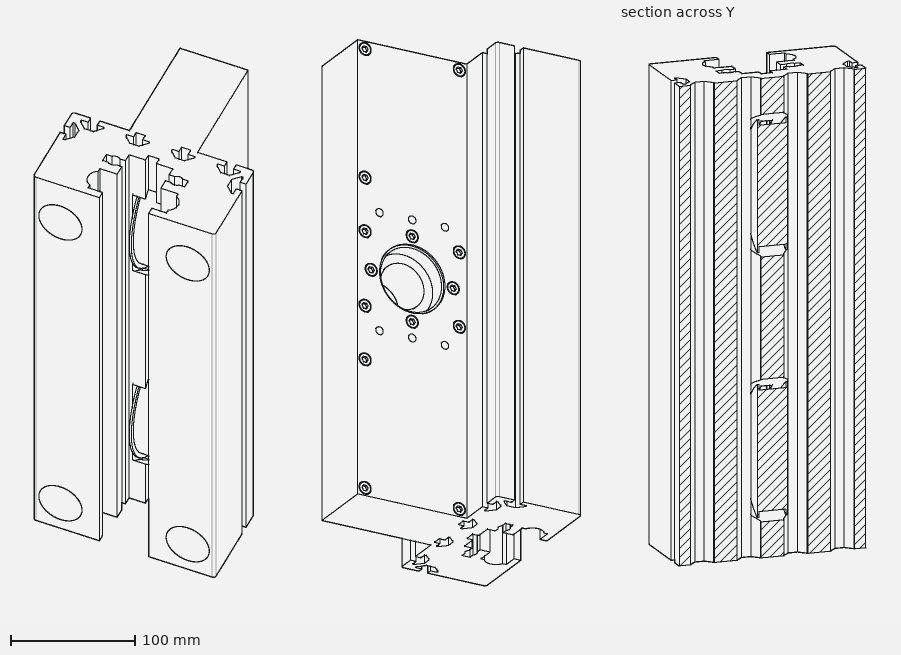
import cadquery as cq
import math

length = 400
half_length = length / 2
profile_width = 160
profile_depth = 78.0
corner_radius = 2.5
box_width = 60
box_depth = 100

slot_mouth = 8.0
slot_cavity = 20.0
slot_lip = 5.0
slot_straight = 1.5
slot_depth = 13.0
back_slot_positions = (-60, -20, 20, 60)
side_slot_y = 57.5

mouth_half = 21.5
mouth_depth = 6.5
guide_half = 34.5
guide_end_y = 29.5
rod_groove_x = 30.5
rod_groove_y = 18.0
rod_groove_diameter = 18.5
neck_half = 19.0
floor_y = 53.0
side_groove_half = 36.0
side_groove_height = 7.0
side_groove_y = 42.5
side_groove_bore_x = 27.5
side_groove_bore = 10.0
belt_groove_width = 9.5
belt_groove_y = 59.0

wheel_z = 110.5
wheel_y = 104
wheel_radius = 60
flange_radius = 64
pocket_radius = 67.0
wheel_width = 23.0
flange_width = 26.5
pocket_width = 32.0

mark_diameter = 38.0
mark_depth = 0.2
mark_x = 56
mark_pitch_z = 327.0
mark_center_z = -7.0

box_center_y = profile_depth + box_depth / 2
shaft_bore = 40
shaft_seat = 56
shaft_seat_depth = 17.0
shaft_rim = 60
shaft_rim_depth = 2.0
tapped_hole = 7.0
tapped_hole_depth = 12
tapped_pitch_y = 30.0
tapped_z = 52
counterbore = 11.0
screw_head = 10.0
head_height = 5.5
socket_flats = 5.0
socket_depth = 2.5
ring_screw_radius = 37.5
screw_row_half = 43.0
end_screw_z = 193.0
inner_screw_z = 33.0
outer_screw_z = 80


def prism(sketch):
    """Extrude an XY sketch over the whole length."""
    return sketch.extrude(length)


def xy_plane():
    return cq.Workplane("XY", origin=(0, 0, -half_length))


def block(x_half, y_start, y_end):
    """Full-length block centred on X."""
    sketch = xy_plane().center(0, (y_start + y_end) / 2).rect(2 * x_half, y_end - y_start)
    return prism(sketch)


def round_groove(x, y, diameter):
    return prism(xy_plane().center(x, y).circle(diameter / 2))


def t_slot():
    """T-slot opening toward +Y with its mouth at the origin."""
    half_mouth = slot_mouth / 2
    half_cavity = slot_cavity / 2
    half_outline = [
        (half_mouth, 0),
        (half_mouth, -slot_lip),
        (half_cavity, -slot_lip),
        (half_cavity, -slot_lip - slot_straight),
        (half_mouth, -slot_depth),
    ]
    mirrored = [(-x, y) for x, y in reversed(half_outline)]
    return prism(xy_plane().polyline(half_outline + mirrored).close())


def guide_channel():
    channel = block(mouth_half, 0, mouth_depth)
    channel = channel.union(block(guide_half, mouth_depth, guide_end_y))
    channel = channel.union(block(neck_half, guide_end_y, floor_y))
    groove_half_height = side_groove_height / 2
    channel = channel.union(
        block(side_groove_half, side_groove_y - groove_half_height, side_groove_y + groove_half_height)
    )
    channel = channel.union(block(belt_groove_width / 2, floor_y, belt_groove_y))
    for side in (-1, 1):
        channel = channel.union(round_groove(side * rod_groove_x, rod_groove_y, rod_groove_diameter))
        channel = channel.union(
            round_groove(side * side_groove_bore_x, side_groove_y, side_groove_bore)
        )
    return channel


def wheel_disc(radius, width, z):
    """Disc about an X-directed axle, centred on X."""
    plane = cq.Workplane("YZ", origin=(-width / 2, wheel_y, z))
    return plane.circle(radius).extrude(width)


def profile():
    body = block(profile_width / 2, 0, profile_depth).edges("|Z").fillet(corner_radius)
    body = body.cut(guide_channel())
    for x in back_slot_positions:
        body = body.cut(t_slot().translate((x, profile_depth, 0)))
    for side in (-1, 1):
        slot = t_slot().rotate((0, 0, 0), (0, 0, 1), -90 * side)
        body = body.cut(slot.translate((side * profile_width / 2, side_slot_y, 0)))
    for z in (-wheel_z, wheel_z):
        body = body.cut(wheel_disc(pocket_radius, pocket_width, z))
    marks = (
        cq.Workplane("XZ")
        .center(0, mark_center_z)
        .rect(2 * mark_x, mark_pitch_z, forConstruction=True)
        .vertices()
        .circle(mark_diameter / 2)
        .extrude(-mark_depth)
    )
    return body.cut(marks)


def belt_wheel(z):
    """Belt wheel between two thin flanges; its upper part merges into the gearbox."""
    wheel = wheel_disc(flange_radius, flange_width, z)
    rim = wheel_disc(flange_radius, wheel_width, z).cut(wheel_disc(wheel_radius, wheel_width, z))
    return wheel.cut(rim)


def face_plane():
    """Plane on the -X face of the gearbox, about the shaft, with Y and Z as its axes."""
    return cq.Workplane("YZ", origin=(-box_width / 2, box_center_y, 0))


def screw_positions():
    positions = []
    for z_side in (-1, 1):
        for y_side in (-1, 1):
            for z in (inner_screw_z, end_screw_z):
                positions.append((y_side * screw_row_half, z_side * z))
        positions.append((screw_row_half, z_side * outer_screw_z))
        positions.append((0, z_side * ring_screw_radius))
        positions.append((z_side * ring_screw_radius, 0))
    return positions


def gearbox():
    body = block(box_width / 2, profile_depth, profile_depth + box_depth)
    body = body.cut(face_plane().circle(shaft_rim / 2).extrude(shaft_rim_depth))
    body = body.cut(face_plane().circle(shaft_seat / 2).extrude(shaft_seat_depth))
    body = body.cut(face_plane().circle(shaft_bore / 2).extrude(box_width))
    tapped_points = [
        (column * tapped_pitch_y, side * tapped_z) for column in (-1, 0, 1) for side in (-1, 1)
    ]
    tapped = face_plane().pushPoints(tapped_points).circle(tapped_hole / 2).extrude(tapped_hole_depth)
    body = body.cut(tapped)
    screws = face_plane().pushPoints(screw_positions())
    gaps = screws.circle(counterbore / 2).circle(screw_head / 2).extrude(head_height)
    socket_corners = socket_flats / math.cos(math.pi / 6)
    sockets = screws.polygon(6, socket_corners).extrude(socket_depth)
    return body.cut(gaps).cut(sockets)


result = profile().union(gearbox())
for wheel_position in (-wheel_z, wheel_z):
    result = result.union(belt_wheel(wheel_position))